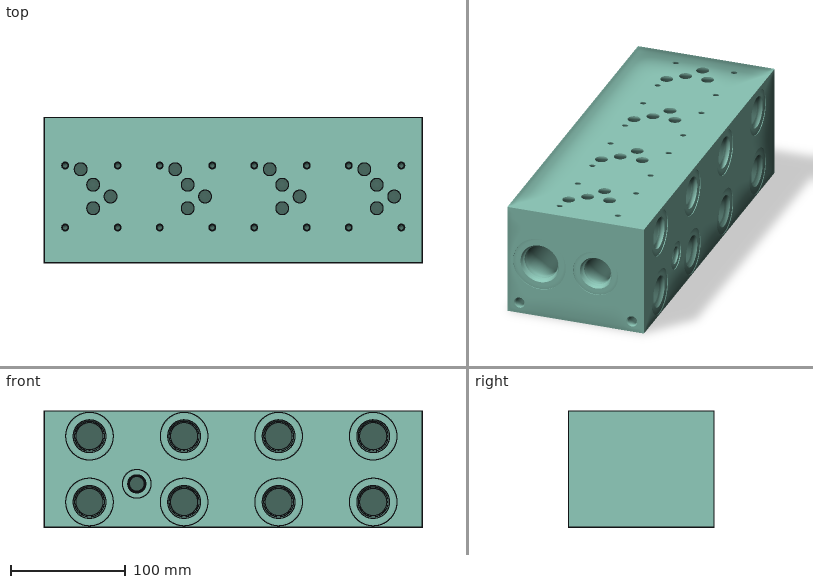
import cadquery as cq
import math

LENGTH = 330.2
WIDTH = 127.0
HEIGHT = 101.7

STATION_COUNT = 4
STATION_PITCH = 82.5
FIRST_STATION_X = -123.8

SPOTFACE_DEPTH = 0.5
SEAT_DEPTH = 3.0
TANK_PORT = {"spotface": 49.0, "seat": 35.5, "throat": 33.5, "bore": 31.0, "depth": 59.5}
SUPPLY_PORT = {"spotface": 41.5, "seat": 29.7, "throat": 27.5, "bore": 24.8, "depth": 59.5}
WORK_PORT = {"spotface": 41.5, "seat": 28.7, "throat": 26.0, "bore": 23.8, "depth": 39.5}
GAUGE_PORT = {"spotface": 25.0, "seat": 16.0, "throat": 14.2, "bore": 13.0, "depth": 26.5}

WORK_PORT_X = -125.5
WORK_PORT_ROWS_Z = (-28.7, 28.7)
GAUGE_PORT_X = -84.2
GAUGE_PORT_Z = -13.0
TANK_PORT_Y = 33.7
SUPPLY_PORT_Y = -18.5

BOLT_SPAN_X = 46.0
BOLT_SPAN_Y = 54.0
BOLT_ROW_Y = 21.5
PASSAGE_DIAMETER = 11.2
PASSAGE_DEPTH = 16.5
PASSAGE_OFFSETS = ((13.5, -3.3), (24.5, -17.0), (39.5, -27.0), (24.5, -37.3))

DRILL_POINT_ANGLE = 118.0
BOLT_HOLE = {"mouth": 6.0, "drill": 5.0, "depth": 15.0}
END_HOLE = {"mouth": 10.0, "drill": 8.0, "depth": 19.8}
END_HOLE_SIDE_EDGE = 11.2
END_HOLE_BOTTOM_EDGE = 10.0

TOP = cq.Plane(origin=(0, 0, HEIGHT / 2), xDir=(1, 0, 0), normal=(0, 0, 1))
FRONT = cq.Plane(origin=(0, -WIDTH / 2, 0), xDir=(1, 0, 0), normal=(0, -1, 0))
END = cq.Plane(origin=(-LENGTH / 2, 0, 0), xDir=(0, -1, 0), normal=(-1, 0, 0))


def turned_cutter(profile):
    """Solid of revolution about local Z from (radius, depth) points going down from the face."""
    points = [(0, 0)] + [(radius, -depth) for radius, depth in profile]
    return cq.Workplane("XZ").polyline(points).close().revolve(360, (0, 0, 0), (0, 1, 0)).val()


def port_cutter(port):
    """Cutter for a spotfaced port with a 45 degree chamfer between throat and bore."""
    spotface, seat, throat, bore = (port[key] / 2 for key in ("spotface", "seat", "throat", "bore"))
    throat_depth = SPOTFACE_DEPTH + SEAT_DEPTH
    bore_start = throat_depth + throat - bore
    return turned_cutter([
        (spotface, 0),
        (spotface, SPOTFACE_DEPTH),
        (seat, SPOTFACE_DEPTH),
        (throat, throat_depth),
        (bore, bore_start),
        (bore, port["depth"]),
        (0, port["depth"]),
    ])


def tapped_hole_cutter(hole):
    """Cutter for a blind hole with a 90 degree countersink and a drill point."""
    mouth = hole["mouth"] / 2
    drill = hole["drill"] / 2
    point_length = drill / math.tan(math.radians(DRILL_POINT_ANGLE / 2))
    return turned_cutter([
        (mouth, 0),
        (drill, mouth - drill),
        (drill, hole["depth"]),
        (0, hole["depth"] + point_length),
    ])


def passage_cutter():
    """Cutter for a plain flat-bottomed passage hole."""
    radius = PASSAGE_DIAMETER / 2
    return turned_cutter([(radius, 0), (radius, PASSAGE_DEPTH), (0, PASSAGE_DEPTH)])


def cut(block, face, cutter, places):
    """Remove the cutter from the block at each (x, y) place on a face."""
    located = [cutter.moved(cq.Location(face) * cq.Location(cq.Vector(x, y, 0))) for x, y in places]
    return block.cut(cq.Workplane(cq.Compound.makeCompound(located)))


station_shifts = [index * STATION_PITCH for index in range(STATION_COUNT)]

block = cq.Workplane("XY").box(LENGTH, WIDTH, HEIGHT)

work_places = [(WORK_PORT_X + shift, z) for shift in station_shifts for z in WORK_PORT_ROWS_Z]
block = cut(block, FRONT, port_cutter(WORK_PORT), work_places)
block = cut(block, FRONT, port_cutter(GAUGE_PORT), [(GAUGE_PORT_X, GAUGE_PORT_Z)])

block = cut(block, END, port_cutter(TANK_PORT), [(-TANK_PORT_Y, 0)])
block = cut(block, END, port_cutter(SUPPLY_PORT), [(-SUPPLY_PORT_Y, 0)])
end_hole_y = WIDTH / 2 - END_HOLE_SIDE_EDGE
end_hole_z = END_HOLE_BOTTOM_EDGE - HEIGHT / 2
end_places = [(side * end_hole_y, end_hole_z) for side in (-1, 1)]
block = cut(block, END, tapped_hole_cutter(END_HOLE), end_places)

bolt_places = []
passage_places = []
for shift in station_shifts:
    corner_x = FIRST_STATION_X - BOLT_SPAN_X / 2 + shift
    for x in (0, BOLT_SPAN_X):
        for y in (0, -BOLT_SPAN_Y):
            bolt_places.append((corner_x + x, BOLT_ROW_Y + y))
    for x, y in PASSAGE_OFFSETS:
        passage_places.append((corner_x + x, BOLT_ROW_Y + y))
block = cut(block, TOP, tapped_hole_cutter(BOLT_HOLE), bolt_places)
result = cut(block, TOP, passage_cutter(), passage_places)